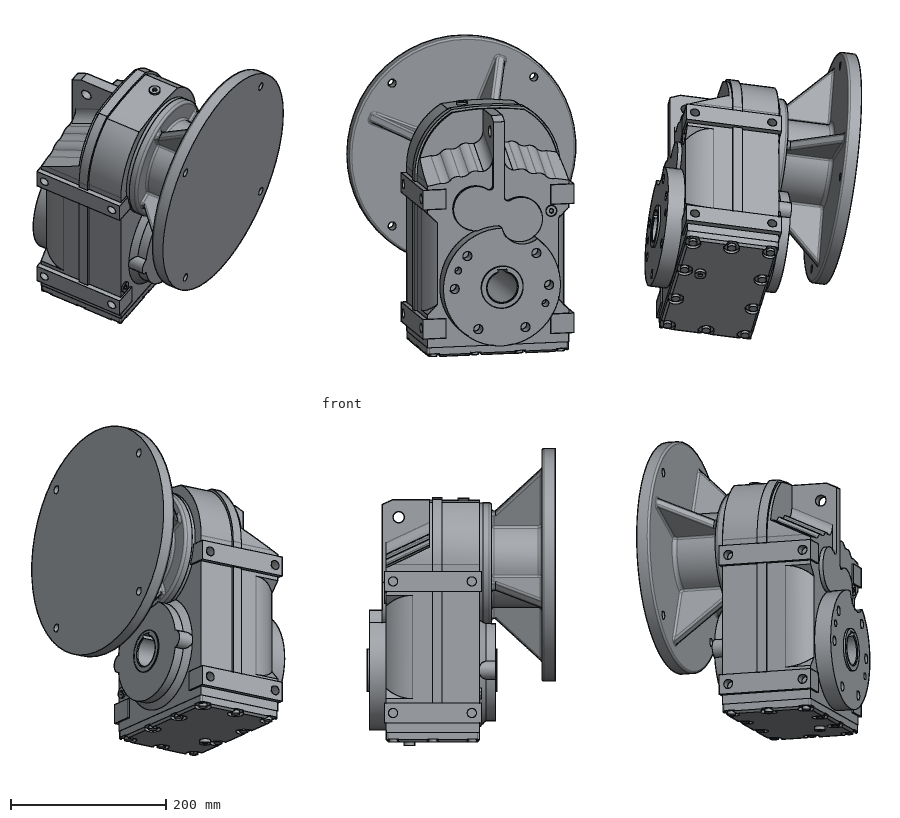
import cadquery as cq
import math


housing_length = 120.3
housing_half_width = 93.5
housing_bottom = -80.0
input_axis_z = 136.0
crown_half_width = 48.0
crown_top = 220.0

band_start = 59.5
band_length = 12.5
band_height = 3.0

bar_overhang = 2.3
bar_inner_y = 69.5
bar_outer_y = 100.0
bar_height = 25.5
bar_centers_z = (114.5, -55.0)
bar_hole_diameter = 12.0
bar_hole_depth = 15.5
bar_hole_positions_x = (9.0, 110.3)

shoulder_length = 55.5
shoulder_rise = 26.0
shoulder_clear_top = 249.0

pocket_length = 34.0
pocket_radius = 49.8
pocket_top = 96.5
pocket_bottom = -36.8

lug_half_width = 7.3
raised_face_x = -5.5
lug_chamfer_length = 13.5
lug_chamfer_drop = 6.0
lug_hole_diameter = 14.0
lug_hole_x = 16.0
lug_hole_z = 197.2
lobe_radius = 29.0
lobe_centers = ((31.0, 101.0), (-28.5, 84.3))
lobe_blend_radius = 5.0

output_flange_radius = 77.5
output_flange_thickness = 22.0
flange_bolt_circle_radius = 62.5
flange_bolt_angles = (0, 43, 137, 180, 240, 300)
flange_bolt_diameter = 12.0
flange_bolt_depth = 19.0
flange_pin_diameter = 9.0
flange_pin_angles = (22.5, 202.5)

rear_flange_end = 141.0
rear_flange_start = 128.3
rear_flange_radius = 65.5
rear_cone_radius = 73.5
rear_boss_diameter = 23.7

shaft_diameter = 55.0
shaft_protrusion_front = 2.5
shaft_end = 142.5
shaft_bore_diameter = 40.0
shaft_bore_chamfer = 1.0
keyway_width = 12.0
keyway_top = 23.5

adapter_ring_diameter = 160.0
spigot_length = 4.5
adapter_ring_end = 136.0
adapter_ring_rounding = 3.5
neck_diameter = 110.0
motor_flange_radius = 149.95
motor_flange_start = 200.7
motor_flange_end = 218.0
motor_flange_rounding = 2.5
motor_bolt_circle_radius = 132.5
motor_bolt_diameter = 10.5
rib_count = 4
rib_first_angle = 22.5
rib_thickness = 12.3
rib_low_radius = 73.5
rib_high_radius = 133.3
rib_level_length = 4.5
adapter_fillet = 2.5
neck_flange_fillet = 5.0

cover_bottom = -92.5
cover_corner_radius = 2.3
cover_edge_chamfer = 3.0
screw_recess_diameter = 20.5
screw_recess_depth = 4.2
screw_head_diameter = 10.7
screw_inset = 9.2
screw_middle_y = 29.5

plug_diameter = 14.0
plug_length = 7.5
plug_protrusion = 2.3
plug_hex_diameter = 6.0
plug_hex_depth = 3.0
bottom_plug_end = -97.1


def x_cylinder(start, end, radius, y=0.0, z=0.0):
    """A cylinder parallel to X."""
    return cq.Workplane("YZ", origin=(start, y, z)).circle(radius).extrude(end - start)


def span_box(x_range, y_range, z_range):
    """A box given by its limits along each axis."""
    size = [high - low for low, high in (x_range, y_range, z_range)]
    corner = (x_range[0], y_range[0], z_range[0])
    return cq.Workplane("XY", origin=corner).box(*size, centered=False)


def arched_block(start, length, offset, bottom):
    """A block with straight sides, round shoulders about the input axis and a shallow crown."""
    radius = housing_half_width + offset
    crown_y = crown_half_width

    def shoulder_point(angle):
        return radius * math.cos(angle), input_axis_z + radius * math.sin(angle)

    crown_angle = math.acos(crown_y / radius)
    crown_z = shoulder_point(crown_angle)[1]
    middle_y, middle_z = shoulder_point(crown_angle / 2)
    return (
        cq.Workplane("YZ", origin=(start, 0, 0))
        .moveTo(-radius, bottom)
        .lineTo(radius, bottom)
        .lineTo(radius, input_axis_z)
        .threePointArc((middle_y, middle_z), (crown_y, crown_z))
        .threePointArc((0, crown_top + offset), (-crown_y, crown_z))
        .threePointArc((-middle_y, middle_z), (-radius, input_axis_z))
        .close()
        .extrude(length)
    )


def shoulder_cutter(side):
    """The space above one scalloped shoulder, slanting up from the front face."""
    back_profile = (
        cq.Workplane("YZ")
        .moveTo(0, 191.0)
        .lineTo(side * lug_half_width, 191.0)
        .threePointArc((side * 12.0, 179.2), (side * 19.5, 174.5))
        .lineTo(side * 26.5, 175.0)
        .threePointArc((side * 33.0, 175.5), (side * 38.5, 172.5))
        .threePointArc((side * 44.0, 169.3), (side * 50.5, 169.0))
        .threePointArc((side * 58.0, 168.5), (side * 64.0, 164.0))
        .threePointArc((side * 69.7, 161.2), (side * 76.2, 161.2))
        .lineTo(side * 99.5, 157.0)
        .lineTo(side * 99.5, shoulder_clear_top)
        .lineTo(0, shoulder_clear_top)
        .close()
    )
    front_wire = back_profile.val().translate(cq.Vector(0, 0, -shoulder_rise))
    slant = cq.Vector(shoulder_length, 0, shoulder_rise)
    return cq.Workplane(cq.Solid.extrudeLinear(front_wire, [], slant))


def pocket_cutter(side):
    """A side pocket with a convex floor and 45 degree ends."""
    axis_y = housing_half_width - pocket_radius
    depth = pocket_radius - math.sqrt(pocket_radius**2 - pocket_length**2)
    half_angle = math.asin(pocket_length / pocket_radius) / 2
    floor_middle = (
        pocket_length - pocket_radius * math.sin(half_angle),
        side * (axis_y + pocket_radius * math.cos(half_angle)),
    )
    plan = (
        cq.Workplane("XY", origin=(0, 0, pocket_bottom))
        .moveTo(pocket_length, side * housing_half_width)
        .threePointArc(floor_middle, (0, side * (housing_half_width - depth)))
        .lineTo(0, side * housing_half_width)
        .close()
        .extrude(pocket_top - pocket_bottom)
    )
    ends = (
        cq.Workplane("YZ")
        .polyline([
            (side * housing_half_width, pocket_top),
            (side * (housing_half_width - depth), pocket_top - depth),
            (side * (housing_half_width - depth), pocket_bottom + depth),
            (side * housing_half_width, pocket_bottom),
        ])
        .close()
        .extrude(pocket_length)
    )
    return plan.intersect(ends)


def foot_bar(side, center_z):
    """One plain bar along the side of the housing."""
    y_limits = sorted((side * bar_inner_y, side * bar_outer_y))
    x_limits = (-bar_overhang, housing_length + bar_overhang)
    z_limits = (center_z - bar_height / 2, center_z + bar_height / 2)
    return span_box(x_limits, y_limits, z_limits)


def foot_bar_holes(side, center_z):
    """The two bolt holes in the outer face of a bar."""
    inner_y = bar_outer_y - bar_hole_depth
    holes = cq.Workplane("XZ", origin=(0, -inner_y, center_z))
    holes = holes.pushPoints([(x, 0) for x in bar_hole_positions_x])
    holes = holes.circle(bar_hole_diameter / 2).extrude(bar_hole_depth)
    return holes if side < 0 else holes.mirror("XZ")


def lifting_lug():
    """The upright plate with its hole, above and in front of the shoulder."""
    lug_bottom = lobe_centers[1][1]
    return (
        cq.Workplane("XZ", origin=(0, lug_half_width, 0))
        .moveTo(raised_face_x, lug_bottom)
        .lineTo(raised_face_x, crown_top - lug_chamfer_drop)
        .lineTo(raised_face_x + lug_chamfer_length, crown_top)
        .lineTo(shoulder_length, crown_top)
        .lineTo(shoulder_length, lug_bottom)
        .close()
        .extrude(2 * lug_half_width)
        .cut(
            cq.Workplane("XZ", origin=(lug_hole_x, lug_half_width, lug_hole_z))
            .circle(lug_hole_diameter / 2)
            .extrude(2 * lug_half_width)
        )
    )


def blend_corner(side, lobe_center):
    """The filler that rounds the corner between the lug's side and a lobe."""
    lobe_y, lobe_z = lobe_center
    blend_y = side * (lug_half_width + lobe_blend_radius)
    reach = lobe_radius + lobe_blend_radius
    blend_z = lobe_z + math.sqrt(reach**2 - (lobe_y - blend_y) ** 2)
    corner = (
        cq.Workplane("YZ", origin=(raised_face_x, 0, 0))
        .polyline([(blend_y, blend_z), lobe_center, (0, lobe_z), (0, blend_z)])
        .close()
        .extrude(-raised_face_x)
    )
    return corner.cut(x_cylinder(raised_face_x, 0, lobe_blend_radius, blend_y, blend_z))


def raised_lobes():
    """The two bridged round lobes on the front face, joined to the lug."""
    lobes = cq.Workplane()
    for side, (y, z) in zip((1, -1), lobe_centers):
        lobes = lobes.add(x_cylinder(raised_face_x, 0, lobe_radius, y, z))
        lobes = lobes.add(blend_corner(side, (y, z)))
    (high_y, high_z), (low_y, low_z) = lobe_centers
    bridge = (
        cq.Workplane("YZ", origin=(raised_face_x, 0, 0))
        .polyline([
            (high_y, high_z),
            (high_y, high_z - lobe_radius),
            (low_y, low_z - lobe_radius),
            (low_y, low_z),
        ])
        .close()
        .extrude(-raised_face_x)
    )
    lobes = lobes.add(bridge)
    return lobes.combine()


def output_flange():
    """The front flange, notched around the lower lobe, with bolt and pin holes."""
    face_x = -output_flange_thickness
    flange = x_cylinder(face_x, 0, output_flange_radius)
    flange = flange.cut(x_cylinder(face_x, raised_face_x, lobe_radius, *lobe_centers[1]))
    hole_groups = (
        (flange_bolt_angles, flange_bolt_diameter),
        (flange_pin_angles, flange_pin_diameter),
    )
    for angles, diameter in hole_groups:
        for angle in angles:
            y = flange_bolt_circle_radius * math.cos(math.radians(angle))
            z = flange_bolt_circle_radius * math.sin(math.radians(angle))
            flange = flange.cut(x_cylinder(face_x, face_x + flange_bolt_depth, diameter / 2, y, z))
    return flange


def rear_flange():
    """The rear flange on its cone, with two side bosses, relieved around the input ring."""
    flange = (
        cq.Workplane("XZ")
        .moveTo(housing_length, 0)
        .lineTo(housing_length, rear_cone_radius)
        .lineTo(rear_flange_start, rear_flange_radius)
        .lineTo(rear_flange_end, rear_flange_radius)
        .lineTo(rear_flange_end, 0)
        .close()
        .revolve(360, (0, 0, 0), (1, 0, 0))
    )
    for side in (-1, 1):
        boss_y = side * flange_bolt_circle_radius
        flange = flange.union(x_cylinder(housing_length, rear_flange_end, rear_boss_diameter / 2, boss_y))
    relief = x_cylinder(housing_length, rear_flange_end, adapter_ring_diameter / 2, z=input_axis_z)
    return flange.cut(relief)


def make_housing():
    body = arched_block(0, housing_length, 0, housing_bottom)
    for side in (-1, 1):
        body = body.cut(shoulder_cutter(side)).cut(pocket_cutter(side))
    body = body.union(arched_block(band_start, band_length, band_height, bar_centers_z[1]))
    body = body.union(lifting_lug()).union(raised_lobes())
    body = body.union(output_flange()).union(rear_flange())
    spigot_end = housing_length + spigot_length
    body = body.union(x_cylinder(housing_length, spigot_end, adapter_ring_diameter / 2, z=input_axis_z))
    for side in (-1, 1):
        for center_z in bar_centers_z:
            body = body.union(foot_bar(side, center_z)).cut(foot_bar_holes(side, center_z))
    return body.cut(x_cylinder(-output_flange_thickness, rear_flange_end, shaft_diameter / 2))


def make_output_shaft():
    start = -output_flange_thickness - shaft_protrusion_front
    shaft = x_cylinder(start, shaft_end, shaft_diameter / 2)
    shaft = shaft.cut(x_cylinder(start, shaft_end, shaft_bore_diameter / 2))
    shaft = shaft.edges("%CIRCLE and (<X or >X)").edges(
        cq.selectors.RadiusNthSelector(0)
    ).chamfer(shaft_bore_chamfer)
    keyway = span_box((start, shaft_end), (-keyway_width / 2, keyway_width / 2), (0, keyway_top))
    return shaft.cut(keyway)


def adapter_rib(angle):
    """A rib from the ring to the motor flange, with rounded top edges."""
    ring_end_x = adapter_ring_end
    rib = (
        cq.Workplane("XZ", origin=(0, rib_thickness / 2, 0))
        .moveTo(ring_end_x, 0)
        .lineTo(ring_end_x, rib_low_radius)
        .lineTo(ring_end_x + rib_level_length, rib_low_radius)
        .lineTo(motor_flange_start, rib_high_radius)
        .lineTo(motor_flange_start, 0)
        .close()
        .extrude(rib_thickness)
    )
    crest = cq.selectors.BoxSelector(
        (ring_end_x + 0.5, -rib_thickness, rib_low_radius - 0.5),
        (motor_flange_start - 0.5, rib_thickness, rib_high_radius),
    )
    rib = rib.edges("not |Y").edges(crest).fillet(adapter_fillet)
    return rib.rotate((0, 0, 0), (1, 0, 0), angle)


def is_foot_edge(edge):
    """True where a rib or the neck meets the ring, the motor flange or each other."""
    box = edge.BoundingBox()
    tolerance = 0.05
    neck_length = motor_flange_start - adapter_ring_end
    is_line = edge.geomType() == "LINE"
    along_neck = is_line and abs(box.xlen - neck_length + neck_flange_fillet) < tolerance
    at_end = any(abs(box.center.x - x) < tolerance for x in (adapter_ring_end, motor_flange_start))
    is_short = edge.Length() < math.pi * neck_diameter
    return along_neck or (at_end and box.xlen < tolerance and is_short)


def flared_neck():
    """The round neck, flaring into the motor flange."""
    radius = neck_diameter / 2
    flare = neck_flange_fillet
    flare_depth = flare * (1 - math.sqrt(0.5))
    return (
        cq.Workplane("XZ")
        .moveTo(adapter_ring_end, 0)
        .lineTo(adapter_ring_end, radius)
        .lineTo(motor_flange_start - flare, radius)
        .threePointArc(
            (motor_flange_start - flare_depth, radius + flare_depth),
            (motor_flange_start, radius + flare),
        )
        .lineTo(motor_flange_start, 0)
        .close()
        .revolve(360, (0, 0, 0), (1, 0, 0))
    )


def make_adapter():
    """Ring, neck, ribs and motor flange, first built about the X axis."""
    ring = x_cylinder(housing_length + spigot_length, adapter_ring_end, adapter_ring_diameter / 2)
    ring = ring.faces(">X").edges().fillet(adapter_ring_rounding)
    flange = x_cylinder(motor_flange_start, motor_flange_end, motor_flange_radius)
    flange = flange.faces("<X").edges().fillet(motor_flange_rounding)
    adapter = flared_neck().union(flange)
    for index in range(rib_count):
        adapter = adapter.union(adapter_rib(rib_first_angle + index * 360 / rib_count))
    adapter = adapter.union(ring)
    adapter = adapter.edges().filter(is_foot_edge).fillet(adapter_fillet)
    adapter = (
        adapter.faces(">X").workplane(origin=(0, 0, 0))
        .polarArray(motor_bolt_circle_radius, 45, 360, 4)
        .hole(motor_bolt_diameter)
    )
    return adapter.translate((0, 0, input_axis_z))


def make_bottom_cover():
    """The bottom plate; recessed screw heads break its chamfered lower edge."""
    x_limits = (0, housing_length)
    y_limits = (-housing_half_width, housing_half_width)
    outline = span_box(x_limits, y_limits, (cover_bottom, housing_bottom))
    outline = outline.edges("|Z").fillet(cover_corner_radius)
    plate = outline.faces("<Z").edges().chamfer(cover_edge_chamfer)

    row_x = (screw_inset, housing_length - screw_inset)
    outer_y = housing_half_width - screw_inset
    places = [(x, y) for x in row_x for y in (-outer_y, -screw_middle_y, screw_middle_y, outer_y)]
    places += [(housing_length / 2, y) for y in (-outer_y, outer_y)]
    screw_plan = cq.Workplane("XY", origin=(0, 0, cover_bottom)).pushPoints(places)
    recesses = screw_plan.circle(screw_recess_diameter / 2).extrude(screw_recess_depth)
    heads = screw_plan.circle(screw_head_diameter / 2).extrude(screw_recess_depth)
    return plate.cut(recesses.cut(heads))


def plug_blank(head_center, outward):
    """The plain cylinder a plug fills; head_center is the middle of its outer face."""
    return cq.Workplane(cq.Plane(head_center, normal=outward)).circle(plug_diameter / 2).extrude(-plug_length)


def make_plug(head_center, outward, socket_direction):
    """A round plug with a hexagon socket, one corner pointing along socket_direction."""
    head_plane = cq.Plane(head_center, xDir=socket_direction, normal=outward)
    socket = cq.Workplane(head_plane).polygon(6, plug_hex_diameter).extrude(-plug_hex_depth)
    return plug_blank(head_center, outward).cut(socket)


plug_places = (
    ((99.5, 25.0, 221.8), (0, 0, 1), (0, 1, 0)),
    ((-plug_protrusion, -70.0, 93.0), (-1, 0, 0), (0, 0, 1)),
    ((housing_length + plug_protrusion, -84.5, -30.3), (1, 0, 0), (0, 0, 1)),
    ((30.0, -28.7, bottom_plug_end), (0, 0, -1), (0, 1, 0)),
)

housing = make_housing()
bottom_cover = make_bottom_cover()
plugs = []
for center, outward, socket_direction in plug_places:
    plugs.append(make_plug(center, outward, socket_direction))
    housing = housing.cut(plug_blank(center, outward))
    bottom_cover = bottom_cover.cut(plug_blank(center, outward))

result = cq.Compound.makeCompound([
    housing.val(),
    bottom_cover.val(),
    make_output_shaft().val(),
    make_adapter().val(),
    *[plug.val() for plug in plugs],
])